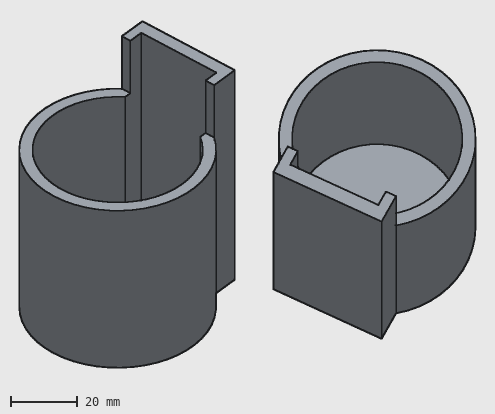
import cadquery as cq
import math

outer_diameter = 59.0
wall = 4.0
cup_height = 60.0
floor_thickness = 4.0

back_height = 80.0
back_y = 32.75
back_wall = 4.5
slot_width = 29.6
side_wall = 3.4

outer_radius = outer_diameter / 2
inner_radius = outer_radius - wall
back_width = slot_width + 2 * side_wall
back_front_y = math.sqrt(outer_radius**2 - (back_width / 2) ** 2)
slot_back_y = back_y - back_wall


def box_between(width, y_front, y_back, z_bottom, z_top):
    """Box centred on X, spanning the given Y and Z limits."""
    return (
        cq.Workplane("XY", origin=(0, 0, z_bottom))
        .center(0, (y_front + y_back) / 2)
        .rect(width, y_back - y_front)
        .extrude(z_top - z_bottom)
    )


def outer_body():
    """Round cup joined to the taller rectangular back."""
    cup = cq.Workplane("XY").circle(outer_radius).extrude(cup_height)
    back = box_between(back_width, back_front_y, back_y, 0, back_height)
    return cup.union(back)


def cavity():
    """Round bore and the slot behind it, both open at the top."""
    bore = (
        cq.Workplane("XY", origin=(0, 0, floor_thickness))
        .circle(inner_radius)
        .extrude(back_height - floor_thickness)
    )
    slot = box_between(slot_width, 0, slot_back_y, floor_thickness, back_height)
    return bore.union(slot)


result = outer_body().cut(cavity())